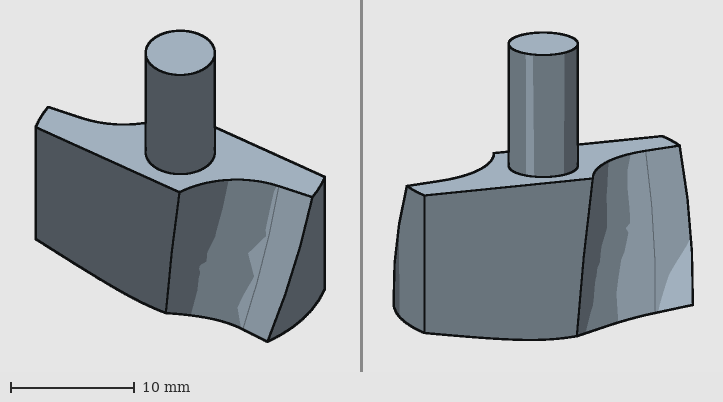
import cadquery as cq
import math

total_height = 24.7
shoulder_z = 14.28
shank_diameter = 5.6
cutter_diameter = 24.2
blade_thickness = 8.37
rim_z = 2.52

flute_start_x = 2.9
flute_tangent_x = 9.0
flute_tangent_y = 1.09
flute_face_angle = 8.0
twist_above_rim = 26.3
flute_overrun = 4.95

cutter_radius = cutter_diameter / 2
half_thickness = blade_thickness / 2
flute_reach = cutter_radius + flute_overrun


def pointed_cylinder():
    """Round body with a conical point."""
    return (
        cq.Workplane("XZ")
        .polyline([(0, 0), (cutter_radius, rim_z), (cutter_radius, shoulder_z), (0, shoulder_z)])
        .close()
        .revolve(360, (0, 0, 0), (0, 1, 0))
    )


def blade():
    """Pointed cylinder flattened on both sides."""
    slab = cq.Workplane("XY").box(cutter_diameter, blade_thickness, shoulder_z, centered=(True, True, False))
    return pointed_cylinder().intersect(slab)


def flute_cutter():
    """Twisted prism: a concave arc running tangent into a flat outer face."""
    face_angle = math.radians(flute_face_angle)
    start = (flute_start_x, -half_thickness)
    tangent_point = (flute_tangent_x, flute_tangent_y)
    face_end = (flute_reach, flute_tangent_y + (flute_reach - flute_tangent_x) * math.tan(face_angle))
    twist = twist_above_rim * shoulder_z / (shoulder_z - rim_z)
    return (
        cq.Workplane("XY")
        .transformed(rotate=(0, 0, -twist))
        .moveTo(*face_end)
        .lineTo(*tangent_point)
        .tangentArcPoint(start, relative=False)
        .lineTo(flute_start_x, -flute_reach)
        .lineTo(flute_reach, -flute_reach)
        .close()
        .twistExtrude(shoulder_z, twist)
    )


def shank():
    """Plain round shank above the shoulder."""
    return (
        cq.Workplane("XY")
        .workplane(offset=shoulder_z)
        .circle(shank_diameter / 2)
        .extrude(total_height - shoulder_z)
    )


flute = flute_cutter()
opposite_flute = flute.rotate((0, 0, 0), (0, 0, 1), 180)
result = blade().cut(flute).cut(opposite_flute).union(shank())